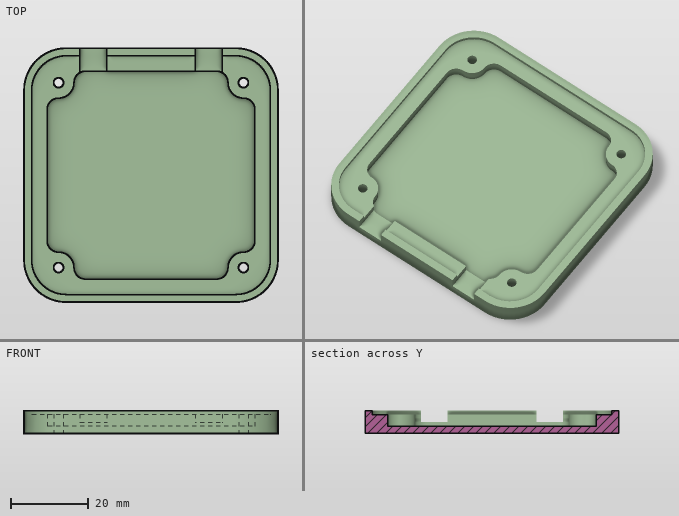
import math

import cadquery as cq

side = 66.0
height = 6.0
corner_radius = 11.0

lip_width = 2.0
lip_height = 1.0

hole_diameter = 2.5
hole_offset = 24.0
boss_radius = 4.0

wall_width = 6.0
floor_thickness = 2.0

notch_width = 7.0
notch_offset = 15.0
notch_floor_height = 3.0

ledge_height = height - lip_height
pocket_half = side / 2 - wall_width
blend_radius = pocket_half - hole_offset
boss_edge = hole_offset - boss_radius
blend_center = boss_edge - blend_radius


def rounded_square(width, radius, thickness, base_height):
    """Square plate centred on the Z axis with rounded vertical edges."""
    plate = cq.Workplane("XY").box(width, width, thickness, centered=(True, True, False))
    return plate.edges("|Z").fillet(radius).translate((0, 0, base_height))


def make_body():
    """Solid plate with a shallow recess that leaves the lip standing."""
    body = rounded_square(side, corner_radius, height, 0)
    recess = rounded_square(side - 2 * lip_width, corner_radius - lip_width, lip_height, ledge_height)
    return body.cut(recess)


def turned(point, quarter_turns):
    """Point rotated about the Z axis by a number of quarter turns."""
    x, y = point
    for _ in range(quarter_turns):
        x, y = -y, x
    return x, y


def make_pocket():
    """Square pocket whose corners curve smoothly around the four bosses."""
    diagonal = math.sqrt(0.5)
    blend_mid = blend_radius * diagonal
    boss_mid = hole_offset - boss_radius * diagonal

    wall_end = (pocket_half, blend_center)
    first_blend_mid = (hole_offset + blend_mid, blend_center + blend_mid)
    boss_start = (hole_offset, boss_edge)
    boss_middle = (boss_mid, boss_mid)
    boss_end = (boss_edge, hole_offset)
    second_blend_mid = first_blend_mid[::-1]
    next_wall_start = wall_end[::-1]

    outline = cq.Workplane("XY").workplane(offset=floor_thickness)
    outline = outline.moveTo(pocket_half, -blend_center)
    for turn in range(4):
        outline = outline.lineTo(*turned(wall_end, turn))
        outline = outline.threePointArc(turned(first_blend_mid, turn), turned(boss_start, turn))
        outline = outline.threePointArc(turned(boss_middle, turn), turned(boss_end, turn))
        outline = outline.threePointArc(turned(second_blend_mid, turn), turned(next_wall_start, turn))
    return outline.close().extrude(height - floor_thickness)


def make_holes():
    """Through holes on the boss axes."""
    spacing = 2 * hole_offset
    return cq.Workplane("XY").rarray(spacing, spacing, 2, 2).circle(hole_diameter / 2).extrude(height)


def make_notches():
    """Open-topped cuts from the +Y face into the pocket, reaching past its rounded corners."""
    length = side / 2 - boss_edge
    return (
        cq.Workplane("XY")
        .workplane(offset=notch_floor_height)
        .pushPoints([(-notch_offset, side / 2 - length / 2), (notch_offset, side / 2 - length / 2)])
        .rect(notch_width, length)
        .extrude(height - notch_floor_height)
    )


result = make_body().cut(make_pocket()).cut(make_holes()).cut(make_notches())